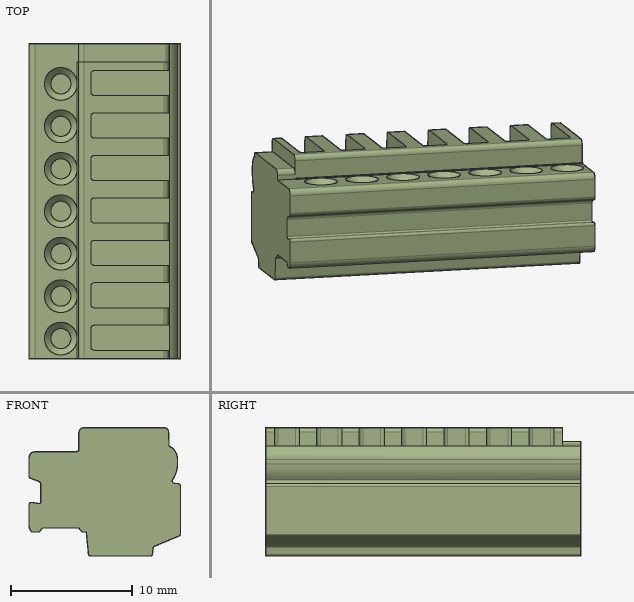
import cadquery as cq
import math


length = 26.0
width = 12.5
height = 10.6
pole_count = 7
pole_pitch = 3.5

shelf_z = 8.61
wall_x = 4.1
back_x = 11.57
back_top_x = 11.51
back_base_z = 9.08
rear_ledge_z = 5.99
notch_x = 0.97
foot_z = 1.97
recess_z = 2.31
crest_radius = 0.45
rear_crest_radius = 0.4

end_step_length = 1.5
end_step_z = 9.45
end_step_rear_radius = 0.27

strip_width = 0.15
strip_height = 0.07

screw_x = 2.63
first_screw_y = 1.68
screw_top_radius = 1.35
screw_bottom_radius = 0.83
screw_depth = screw_top_radius - screw_bottom_radius

slot_x = 5.1
slot_width = 2.07
slot_corner_radius = 0.3
first_slot_y = 1.75

bulge_x = 12.26
latch_start = (back_x, back_base_z)
upper_arc_middle = (12.075, 8.62)
upper_arc_end = (bulge_x, 7.95)
lower_arc_start = (bulge_x, 7.6)
lower_arc_end = (11.865, 6.32)
groove_bottom = (11.83, 6.2)
groove_end = (12.04, rear_ledge_z)

section_corners = [
    (width, rear_ledge_z, 0.24),
    (width, 1.7, 0.15),
    (10.27, 0.77, 0.1),
    (10.17, 0.0, 0.15),
    (4.91, 0.0, 0.2),
    (4.72, foot_z, 0.0),
    (4.39, foot_z, 0.0),
    (wall_x, recess_z, 0.0),
    (1.12, recess_z, 0.0),
    (0.85, foot_z, 0.0),
    (0.22, foot_z, 0.0),
    (0.0, 2.27, 0.65),
    (0.0, 4.48, 0.22),
    (notch_x, 4.31, 0.15),
    (notch_x, 6.1, 0.25),
    (0.0, 6.45, 0.25),
    (0.0, shelf_z, 0.5),
    (wall_x, shelf_z, 0.0),
    (wall_x, height, crest_radius),
    (back_top_x, height, rear_crest_radius),
    (back_x, back_base_z, 0.0),
]


def round_corner(before, corner, after):
    """Return the start, middle and end of the tangent arc at a corner."""
    x, z, radius = corner
    to_before = cq.Vector(before[0] - x, before[1] - z).normalized()
    to_after = cq.Vector(after[0] - x, after[1] - z).normalized()
    half_angle = to_before.getAngle(to_after) / 2
    setback = radius / math.tan(half_angle)
    tip = cq.Vector(x, z)
    inward = (to_before + to_after).normalized()
    start = tip + to_before * setback
    middle = tip + inward * (radius / math.sin(half_angle) - radius)
    end = tip + to_after * setback
    return [(point.x, point.y) for point in (start, middle, end)]


def trace_corners(outline, corners, previous):
    """Continue an outline from its previous point through rounded corners to a sharp last one."""
    for index, corner in enumerate(corners):
        x, z, radius = corner
        if radius > 0:
            start, middle, end = round_corner(previous, corner, corners[index + 1])
            outline = outline.lineTo(*start).threePointArc(middle, end)
        else:
            outline = outline.lineTo(x, z)
        previous = corner
    return outline


def main_body():
    """Cross-section swept over the full length."""
    outline = (
        cq.Workplane("XZ")
        .moveTo(*latch_start)
        .threePointArc(upper_arc_middle, upper_arc_end)
        .lineTo(*lower_arc_start)
        .tangentArcPoint(lower_arc_end, relative=False)
        .threePointArc(groove_bottom, groove_end)
    )
    return trace_corners(outline, section_corners, groove_end).close().extrude(-length)


def block(x_min, x_max, y_min, y_max, z_min, z_max):
    """Axis-aligned box given by its limits."""
    size = (x_max - x_min, y_max - y_min, z_max - z_min)
    return cq.Workplane("XY").box(*size, centered=False).translate((x_min, y_min, z_min))


def lower_end(body):
    """Lower the +Y end of the raised back, with its own rounded crest."""
    end_y = length - end_step_length
    removed = block(wall_x, back_x, end_y, length, shelf_z, height)
    start = (wall_x, shelf_z)
    low_crest_corners = [
        (wall_x, end_step_z, crest_radius),
        (back_top_x, end_step_z, end_step_rear_radius),
        (back_x, back_base_z, 0.0),
        (back_x, shelf_z, 0.0),
    ]
    outline = cq.Workplane("XZ", origin=(0, end_y, 0)).moveTo(*start)
    low_crest = trace_corners(outline, low_crest_corners, start).close().extrude(-end_step_length)
    return body.cut(removed).union(low_crest)


def screw_opening(center_y):
    """Flat-bottomed countersink sunk into the shelf."""
    return (
        cq.Workplane("XY", origin=(screw_x, center_y, shelf_z))
        .circle(screw_top_radius)
        .workplane(offset=-screw_depth)
        .circle(screw_bottom_radius)
        .loft()
    )


def slot(center_y):
    """Slot cutter from its rounded inner end out through the rear wall."""
    y_min = center_y - slot_width / 2
    y_max = center_y + slot_width / 2
    cutter = block(slot_x, width, y_min, y_max, back_base_z, height)
    return cutter.edges("|Z and <X").fillet(slot_corner_radius)


def wall_strip():
    """Thin strip along the full-height part of the front wall."""
    strip_end_y = length - end_step_length
    return block(wall_x - strip_width, wall_x, 0, strip_end_y, shelf_z, shelf_z + strip_height)


body = lower_end(main_body())
for pole in range(pole_count):
    offset = pole * pole_pitch
    body = body.cut(screw_opening(first_screw_y + offset))
    body = body.cut(slot(first_slot_y + offset))

result = body.union(wall_strip())